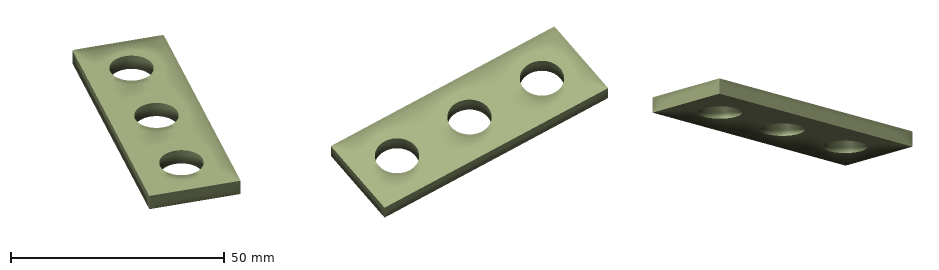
import cadquery as cq

length = 63.5
width = 22.35
thickness = 3.75

hole_diameter = 10.4
hole_pitch = 20.6
hole_count = 3

plate = cq.Workplane("XY").box(length, width, thickness)

result = (
    plate.faces(">Z")
    .workplane()
    .rarray(hole_pitch, 0.65, hole_count, 1)
    .hole(hole_diameter)
)